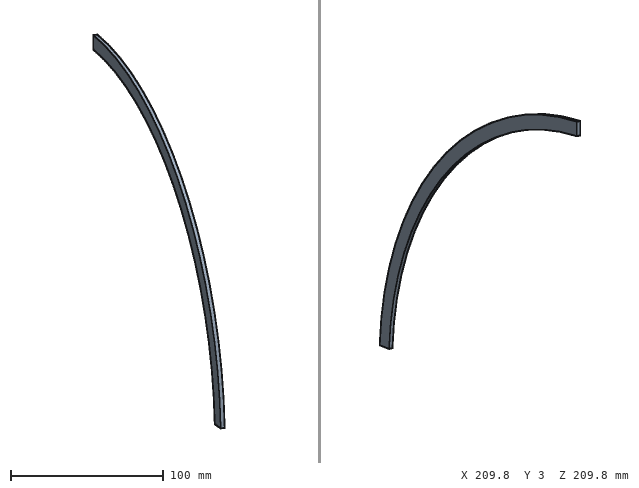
import cadquery as cq
import math

span = 209.8
band_width = 10.0
end_inset = 10.0
thickness = 3.0

outer_radius = math.hypot(span + end_inset, end_inset)
inner_radius = outer_radius - band_width

ring = cq.Workplane("XZ").circle(outer_radius).circle(inner_radius).extrude(thickness)

kept_region = (
    cq.Workplane("XZ")
    .moveTo(end_inset, end_inset)
    .rect(span, span, centered=False)
    .extrude(thickness)
)

result = ring.intersect(kept_region)